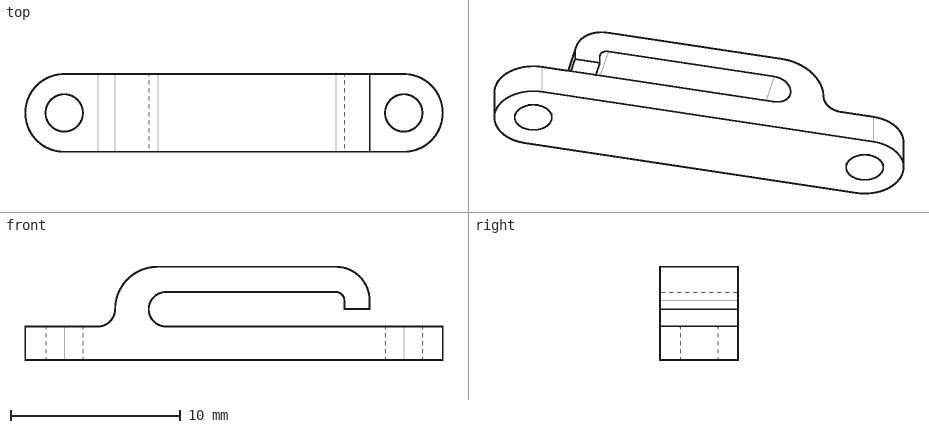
import cadquery as cq

length = 24.6
width = 4.6
base_thickness = 2.0
hole_diameter = 2.2
hole_spacing = length - width

height = 5.5
hook_left = -7.0
hook_right = 8.0
root_thickness = 2.0
arm_thickness = 1.5
lip_thickness = 1.5
lip_bottom = 3.0
shoulder_radius = 2.5
nose_radius = 2.0
root_fillet = height - shoulder_radius - base_thickness
lip_fillet = 0.5

slot_top = height - arm_thickness
slot_radius = (slot_top - base_thickness) / 2
slot_left = hook_left + root_thickness
slot_center_x = slot_left + slot_radius
slot_center_z = base_thickness + slot_radius
lip_left = hook_right - lip_thickness


def make_base():
    plate = cq.Workplane("XY").slot2D(length, width).extrude(base_thickness)
    holes = (
        cq.Workplane("XY")
        .pushPoints([(-hole_spacing / 2, 0), (hole_spacing / 2, 0)])
        .circle(hole_diameter / 2)
        .extrude(base_thickness)
    )
    return plate.cut(holes)


def make_hook():
    outline = (
        cq.Workplane("XZ")
        .moveTo(hook_left - root_fillet, base_thickness)
        .radiusArc((hook_left, height - shoulder_radius), -root_fillet)
        .radiusArc((hook_left + shoulder_radius, height), shoulder_radius)
        .lineTo(hook_right - nose_radius, height)
        .radiusArc((hook_right, height - nose_radius), nose_radius)
        .lineTo(hook_right, lip_bottom)
        .lineTo(lip_left, lip_bottom)
        .lineTo(lip_left, slot_top - lip_fillet)
        .radiusArc((lip_left - lip_fillet, slot_top), -lip_fillet)
        .lineTo(slot_center_x, slot_top)
        .threePointArc((slot_left, slot_center_z), (slot_center_x, base_thickness))
        .lineTo(slot_center_x, 0)
        .lineTo(hook_left - root_fillet, 0)
        .close()
    )
    return outline.extrude(width / 2, both=True)


result = make_base().union(make_hook()).clean()